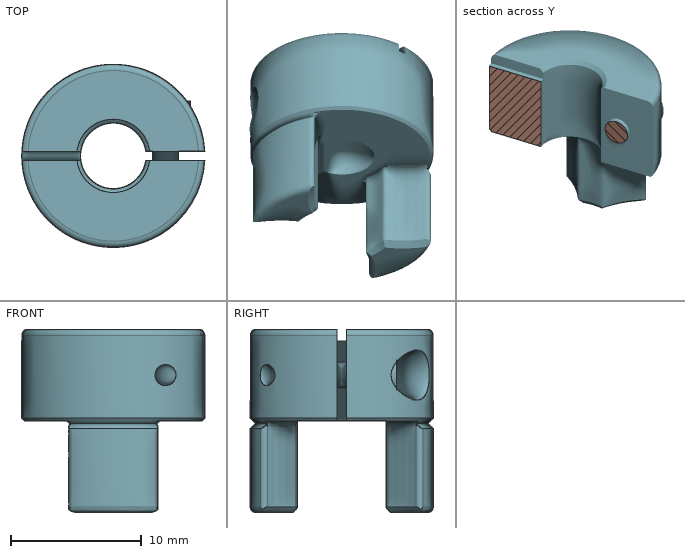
import cadquery as cq

hub_radius = 7.0
total_height = 14.0
collar_bottom = 7.0
rim_fillet = 0.48
bore_radius = 2.5
bore_chamfer = 0.3

lobe_offset = hub_radius
lobe_radius = 6.8
jaw_inner_radius = 3.5
jaw_corner_fillet = 0.3
jaw_tip_fillet = 0.43
jaw_tip_bevel = jaw_tip_fillet
jaw_inner_bevel_width = 0.3
root_fillet = 0.4
root_inner_radius = 3.74

groove_depth = 0.4
groove_height = 6.8

slot_width = 0.7
groove_slot_depth = 0.9

screw_x = 3.99
screw_z = (collar_bottom + total_height) / 2
thread_radius = 0.8
shank_radius = 1.0
head_radius = 1.9
head_height = 2.0
head_top = 4.19
head_seat = head_top - head_height
thread_start = -slot_width / 2
screw_tip = -4.82


def screw_cylinder(radius, y_start, y_end):
    """Cylinder on the screw axis between two Y positions."""
    start = cq.Vector(screw_x, y_start, screw_z)
    cylinder = cq.Solid.makeCylinder(radius, y_end - y_start, start, cq.Vector(0, 1, 0))
    return cq.Workplane(obj=cylinder)


def make_collar():
    """Round clamping collar with a filleted upper rim."""
    collar_height = total_height - collar_bottom
    collar = cq.Workplane().workplane(offset=collar_bottom).circle(hub_radius).extrude(collar_height)
    return collar.faces(">Z").edges().fillet(rim_fillet)


def make_jaw_ring():
    """Ring below the collar, with a rounded outer and a bevelled inner lower edge."""
    return (
        cq.Workplane("XZ")
        .moveTo(jaw_inner_radius + jaw_inner_bevel_width, 0)
        .lineTo(hub_radius - jaw_tip_fillet, 0)
        .radiusArc((hub_radius, jaw_tip_fillet), -jaw_tip_fillet)
        .lineTo(hub_radius, collar_bottom)
        .lineTo(jaw_inner_radius, collar_bottom)
        .lineTo(jaw_inner_radius, jaw_tip_bevel)
        .close()
        .revolve(360, (0, 0), (0, 1))
    )


def make_lobe_pocket():
    """Round pocket about the Z axis, flared at the jaw tips."""
    return (
        cq.Workplane("XZ")
        .lineTo(lobe_radius + jaw_tip_bevel, 0)
        .lineTo(lobe_radius, jaw_tip_bevel)
        .lineTo(lobe_radius, collar_bottom)
        .lineTo(0, collar_bottom)
        .close()
        .revolve(360, (0, 0), (0, 1))
    )


def make_root_fillets():
    """Concave fillets between the jaw flanks and the collar's lower face."""
    ring = (
        cq.Workplane("XZ")
        .moveTo(lobe_radius, collar_bottom)
        .lineTo(lobe_radius - root_fillet, collar_bottom)
        .radiusArc((lobe_radius, collar_bottom - root_fillet), root_fillet)
        .close()
        .revolve(360, (0, 0), (0, 1))
    )
    sleeve = (
        cq.Workplane()
        .workplane(offset=collar_bottom - root_fillet)
        .circle(hub_radius - groove_depth)
        .circle(root_inner_radius)
        .extrude(root_fillet)
    )
    fillets = sleeve.intersect(ring.translate((-lobe_offset, 0, 0)))
    return fillets.union(sleeve.intersect(ring.translate((lobe_offset, 0, 0))))


def make_jaws():
    """Two opposite jaws: straight posts with rounded corners, trimmed to the rounded and bevelled tips."""
    lobe_centers = [(-lobe_offset, 0), (lobe_offset, 0)]
    posts = (
        cq.Workplane()
        .circle(hub_radius)
        .circle(jaw_inner_radius)
        .extrude(collar_bottom)
        .cut(cq.Workplane().pushPoints(lobe_centers).circle(lobe_radius).extrude(collar_bottom))
        .edges("|Z")
        .fillet(jaw_corner_fillet)
    )
    tip_shape = make_jaw_ring()
    for x, y in lobe_centers:
        tip_shape = tip_shape.cut(make_lobe_pocket().translate((x, y, 0)))
    return posts.intersect(tip_shape).union(make_root_fillets())


def make_outer_groove():
    """Ring cutter with a V section."""
    return (
        cq.Workplane("XZ")
        .moveTo(hub_radius, groove_height - groove_depth)
        .lineTo(hub_radius - groove_depth, groove_height)
        .lineTo(hub_radius, groove_height + groove_depth)
        .close()
        .revolve(360, (0, 0), (0, 1))
    )


def make_bore():
    """Through-bore cutter, chamfered at the upper face."""
    bore = cq.Workplane().circle(bore_radius).extrude(total_height)
    return bore.union(
        cq.Workplane("XZ")
        .moveTo(0, total_height)
        .lineTo(bore_radius + bore_chamfer, total_height)
        .lineTo(bore_radius, total_height - bore_chamfer)
        .lineTo(0, total_height - bore_chamfer)
        .close()
        .revolve(360, (0, 0), (0, 1))
    )


def make_slots():
    """Clamping slot, full depth on the +X side and shallow on the -X side."""
    through_slot = cq.Workplane().box(hub_radius, slot_width, total_height, centered=(False, True, False))
    shallow_slot = (
        cq.Workplane()
        .workplane(offset=total_height - groove_slot_depth)
        .box(2 * hub_radius, slot_width, groove_slot_depth, centered=(True, True, False))
    )
    return through_slot.union(shallow_slot)


def make_screw_hole():
    """Threaded hole, clearance hole and open counterbore for the screw."""
    return (
        screw_cylinder(thread_radius, -hub_radius, thread_start)
        .union(screw_cylinder(shank_radius, thread_start, head_seat))
        .union(screw_cylinder(head_radius, head_seat, hub_radius))
    )


def make_hub():
    """Clamping hub with two coupling jaws, in one piece."""
    return (
        make_collar()
        .union(make_jaws())
        .cut(make_outer_groove())
        .cut(make_bore())
        .cut(make_slots())
        .cut(make_screw_hole())
    )


def make_screw():
    """Cap screw that closes the clamping slot, seated in the counterbore."""
    return (
        screw_cylinder(thread_radius, screw_tip, thread_start)
        .union(screw_cylinder(shank_radius, thread_start, head_seat))
        .union(screw_cylinder(head_radius, head_seat, head_top))
    )


hub = make_hub()
screw = make_screw()
result = cq.Compound.makeCompound([hub.solids().val(), screw.solids().val()])